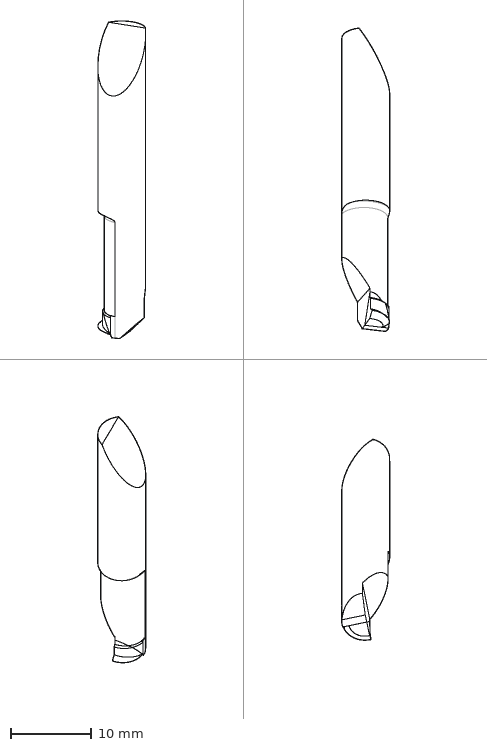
import cadquery as cq
import math

length = 40.0
shank_radius = 3.0
end_flat_depth = 1.55
slope_angle = 30.0

neck_offset = 0.9
neck_edge_x = neck_offset / 2
neck_fillet = 0.6
shoulder_height = 15.95

head_height = 2.9
head_reach = 2.35
head_side_x = -0.2
head_chamfer = 0.25
land_depth = math.sqrt(shank_radius**2 - neck_edge_x**2)
nose_chamfer_x = 1.95
nose_chamfer_z = 2.1

back_runout_height = 9.3
rake_angle = 3.0
rake_edge_x = -2.4

joint_angle = 60.0
tooth_height = 0.7
tooth_upper_angle = 38.0
tooth_lower_angle = 34.0
tooth_tilt = 3.5

margin = 8.0


def cylinder(radius, height, center_x=0.0):
    return cq.Workplane("XY").center(center_x, 0).circle(radius).extrude(height)


def sloping_end_cut():
    """Wedge that slopes the upper end on the -Y side."""
    run = end_flat_depth + margin
    drop = run / math.tan(math.radians(slope_angle))
    return (
        cq.Workplane("YZ")
        .polyline([(end_flat_depth, length), (-margin, length), (-margin, length - drop)])
        .close()
        .extrude(margin, both=True)
    )


def flared_neck():
    """Neck round that widens through a fillet into the shoulder plane."""
    flare_radius = shank_radius + neck_fillet
    flare_start = shoulder_height - neck_fillet
    arc_inset = neck_fillet * (1 - math.sqrt(0.5))
    profile = (
        cq.Workplane("XZ")
        .moveTo(0, 0)
        .lineTo(shank_radius, 0)
        .lineTo(shank_radius, flare_start)
        .threePointArc(
            (shank_radius + arc_inset, shoulder_height - arc_inset),
            (flare_radius, shoulder_height),
        )
        .lineTo(margin, shoulder_height)
        .lineTo(margin, length)
        .lineTo(0, length)
        .close()
    )
    return profile.revolve(360, (0, 0), (0, 1)).translate((neck_offset, 0, 0))


def relieved_head():
    """Chamfered round through the head reach and its run-out on the land."""
    center_x = (land_depth**2 + head_side_x**2 - head_reach**2) / (2 * (head_reach + head_side_x))
    return cylinder(head_reach + center_x, head_height, center_x).faces(">Z").chamfer(head_chamfer)


def tooth():
    """Pointed ring on the shank round, tilted about X for clearance."""
    upper_rise = shank_radius * math.tan(math.radians(tooth_upper_angle))
    lower_drop = shank_radius * math.tan(math.radians(tooth_lower_angle))
    ring = (
        cq.Workplane("XZ")
        .polyline([(0, upper_rise), (shank_radius, 0), (0, -lower_drop)])
        .close()
        .revolve(360, (0, 0), (0, 1))
    )
    return ring.rotate((0, 0, 0), (1, 0, 0), tooth_tilt).translate((0, 0, tooth_height))


def back_cut():
    """Material removed behind the raked face, up to the sloping run-out."""
    rise = margin / math.tan(math.radians(slope_angle))
    low_y = -margin
    low_z = back_runout_height - (shank_radius - low_y) / math.tan(math.radians(slope_angle))
    slope = (
        cq.Workplane("YZ")
        .polyline([
            (low_y, low_z),
            (shank_radius + margin, back_runout_height + rise),
            (shank_radius + margin, low_z),
        ])
        .close()
        .extrude(margin, both=True)
    )
    behind = (
        cq.Workplane("XY")
        .box(4 * margin, 2 * margin, 2 * length, centered=(True, False, True))
        .rotate((0, 0, 0), (0, 0, 1), rake_angle)
        .translate((rake_edge_x, 0, 0))
    )
    return slope.intersect(behind)


def nose_cut():
    """Chamfer on the +X side of the lower end."""
    return (
        cq.Workplane("XZ")
        .polyline([
            (shank_radius, nose_chamfer_z),
            (shank_radius - nose_chamfer_x, 0),
            (shank_radius, 0),
        ])
        .close()
        .extrude(margin, both=True)
    )


def insert_space():
    """Wedge on the -X side of the inclined insert seat."""
    rise = margin * math.tan(math.radians(joint_angle))
    return (
        cq.Workplane("XZ")
        .polyline([(0, 0), (-margin, 0), (-margin, rise)])
        .close()
        .extrude(margin, both=True)
    )


def bar_envelope():
    """Shank, neck and relieved head before the insert is separated."""
    shank = cylinder(shank_radius, length)
    head = shank.intersect(relieved_head())
    land = shank.intersect(
        cq.Workplane("XY")
        .box(margin, 2 * margin, head_height, centered=(False, True, False))
        .translate((head_side_x, 0, 0))
    )
    land_cut = (
        cq.Workplane("XY")
        .box(margin, margin, head_height, centered=(False, False, False))
        .translate((neck_edge_x - margin, -land_depth - margin, 0))
    )
    return shank.intersect(flared_neck()).union(head).union(land).cut(land_cut)


def make_holder():
    return (
        bar_envelope()
        .cut(sloping_end_cut())
        .cut(back_cut())
        .cut(nose_cut())
        .cut(insert_space())
    )


def make_insert():
    """Tip with the tooth standing out and its lower flank cut away."""
    above_tooth = (
        cq.Workplane("XY")
        .box(2 * margin, 2 * margin, margin, centered=(True, True, False))
        .rotate((0, 0, 0), (1, 0, 0), tooth_tilt)
        .translate((0, 0, tooth_height))
    )
    upper = bar_envelope().intersect(above_tooth)
    edge = tooth().intersect(cylinder(shank_radius, length))
    return upper.union(edge).intersect(insert_space()).cut(back_cut())


holder = make_holder()
insert = make_insert()

result = cq.Compound.makeCompound([holder.solids().val(), insert.solids().val()])